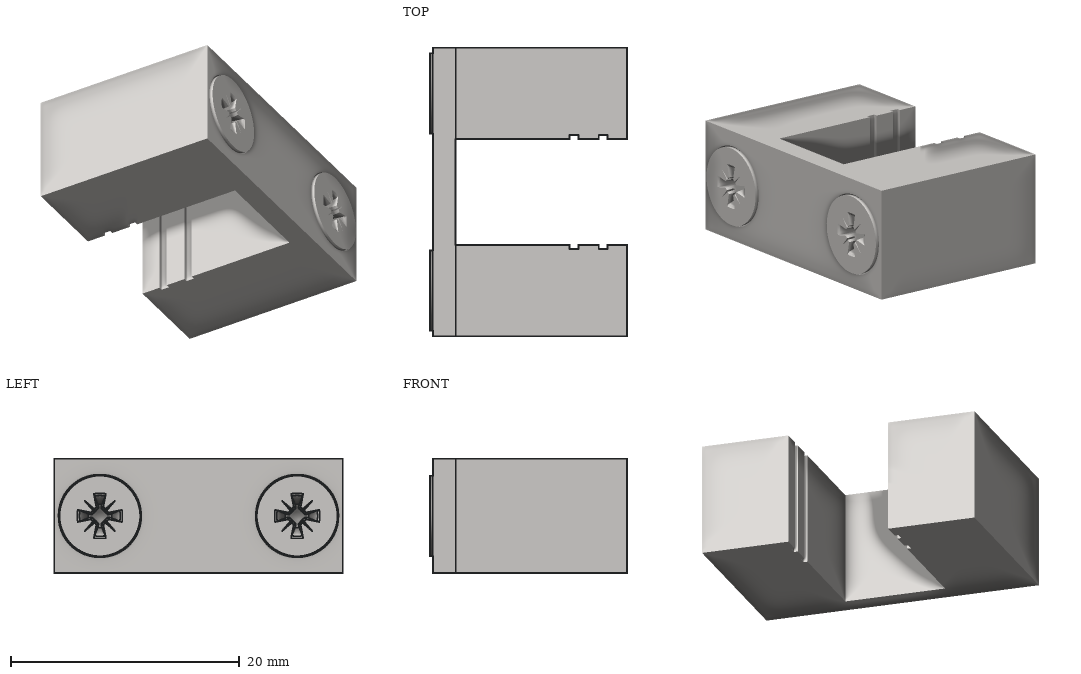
import cadquery as cq
import math

LENGTH = 25.25
HEIGHT = 10.0
PLATE_THICKNESS = 2.0
BLOCK_DEPTH = 15.0
BLOCK_WIDTH = 8.0
BLOCK_CENTRE_Y = (LENGTH - BLOCK_WIDTH) / 2
SIDES = (-1, 1)

GROOVE_WIDTH = 0.75
GROOVE_DEPTH = 0.35
GROOVE_PITCH = 2.55
GROOVE_END_GAP = 1.72
GROOVE_COUNT = 2

HEAD_DIAMETER = 7.05
HEAD_PROUD = 0.25
COUNTERSINK_DIAMETER = 7.25
COUNTERSINK_ANGLE = 90.0
COUNTERSINK_SLOPE = math.tan(math.radians(COUNTERSINK_ANGLE / 2))
COUNTERSINK_END_RADIUS = COUNTERSINK_DIAMETER / 2 - PLATE_THICKNESS * COUNTERSINK_SLOPE
SEAT_DEPTH = (COUNTERSINK_DIAMETER - HEAD_DIAMETER) / 2 / COUNTERSINK_SLOPE

RECESS_RADIUS = 2.0
RECESS_RIM_RADIUS = 1.8
RECESS_RIM_DEPTH = 0.13
RECESS_FLOOR_RADIUS = 1.03
RECESS_WALL_DEPTH = 1.77
RECESS_DEPTH = 2.17
ARM_COUNT = 4
ARM_ANGLE = 360 / ARM_COUNT
ARM_LENGTH = 1.97
ARM_INNER_WIDTH = 0.3
ARM_OUTER_WIDTH = 1.09
CORE_SIDE = 1.51
SIDE_DRAFT = 5.5
NOTCH_LENGTH = 1.87
NOTCH_WIDTH = 0.25
NOTCH_DEPTH = 0.75


def make_revolved(points):
    """Solid turned about Z from (radius, height) points."""
    return cq.Workplane("XZ").polyline(points).close().revolve(360, (0, 0), (0, 1))


def lay_along_x(solid, start_x, centre_y):
    """Turn a solid's Z axis to +X and move its base to the given place."""
    return solid.rotate((0, 0, 0), (0, 1, 0), 90).translate((start_x, centre_y, 0))


def make_recess():
    """Cross recess that starts at the XY plane and goes along +Z."""
    bounds = make_revolved([
        (0, 0),
        (RECESS_RADIUS, 0),
        (RECESS_RIM_RADIUS, RECESS_RIM_DEPTH),
        (RECESS_FLOOR_RADIUS, RECESS_WALL_DEPTH),
        (0, RECESS_DEPTH),
    ])
    arm = (
        cq.Workplane("XY")
        .polyline([
            (0, -ARM_INNER_WIDTH / 2),
            (ARM_LENGTH, -ARM_OUTER_WIDTH / 2),
            (ARM_LENGTH, ARM_OUTER_WIDTH / 2),
            (0, ARM_INNER_WIDTH / 2),
        ])
        .close()
        .extrude(RECESS_DEPTH, taper=SIDE_DRAFT)
    )
    notch = (
        cq.Workplane("XY")
        .polyline([(0, -NOTCH_WIDTH / 2), (NOTCH_LENGTH, 0), (0, NOTCH_WIDTH / 2)])
        .close()
        .extrude(NOTCH_DEPTH)
        .rotate((0, 0, 0), (0, 0, 1), ARM_ANGLE / 2)
    )
    cross = (
        cq.Workplane("XY")
        .transformed(rotate=(0, 0, ARM_ANGLE / 2))
        .rect(CORE_SIDE, CORE_SIDE)
        .extrude(RECESS_DEPTH, taper=SIDE_DRAFT)
    )
    for index in range(ARM_COUNT):
        for cutter in (arm, notch):
            cross = cross.union(cutter.rotate((0, 0, 0), (0, 0, 1), ARM_ANGLE * index))
    return cross.intersect(bounds)


def make_screw(centre_y):
    """Countersunk head along X with a cross recess in its outer face."""
    head_radius = HEAD_DIAMETER / 2
    head = make_revolved([
        (0, 0),
        (head_radius, 0),
        (head_radius, HEAD_PROUD + SEAT_DEPTH),
        (COUNTERSINK_END_RADIUS, HEAD_PROUD + PLATE_THICKNESS),
        (0, HEAD_PROUD + PLATE_THICKNESS),
    ])
    return lay_along_x(head.cut(make_recess()), -HEAD_PROUD, centre_y)


def make_plate():
    """Flat plate with a countersunk hole for each screw."""
    plate = cq.Workplane("XY").box(PLATE_THICKNESS, LENGTH, HEIGHT, centered=(False, True, True))
    countersink = make_revolved([
        (0, 0),
        (COUNTERSINK_DIAMETER / 2, 0),
        (COUNTERSINK_END_RADIUS, PLATE_THICKNESS),
        (0, PLATE_THICKNESS),
    ])
    for side in SIDES:
        plate = plate.cut(lay_along_x(countersink, 0, side * BLOCK_CENTRE_Y))
    return plate


def make_block(side):
    """Block at the +Y (side = 1) or -Y (side = -1) end, grooved on its inner face."""
    block = (
        cq.Workplane("XY")
        .box(BLOCK_DEPTH, BLOCK_WIDTH, HEIGHT, centered=(False, True, True))
        .translate((PLATE_THICKNESS, side * BLOCK_CENTRE_Y, 0))
    )
    free_end = PLATE_THICKNESS + BLOCK_DEPTH
    inner_face = LENGTH / 2 - BLOCK_WIDTH
    for index in range(GROOVE_COUNT):
        groove_x = free_end - GROOVE_END_GAP - GROOVE_WIDTH / 2 - index * GROOVE_PITCH
        groove = (
            cq.Workplane("XY")
            .box(GROOVE_WIDTH, GROOVE_DEPTH, HEIGHT)
            .translate((groove_x, side * (inner_face + GROOVE_DEPTH / 2), 0))
        )
        block = block.cut(groove)
    return block


plate = make_plate()
blocks = [make_block(side) for side in SIDES]
screws = [make_screw(side * BLOCK_CENTRE_Y) for side in SIDES]

result = cq.Compound.makeCompound(
    [plate.val()] + [body.val() for body in blocks + screws]
)